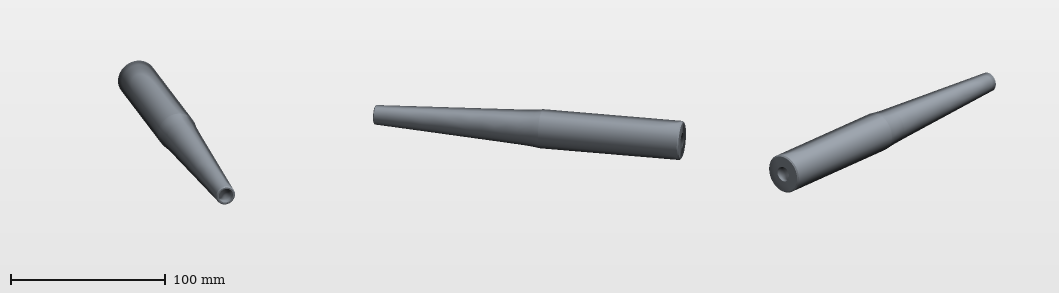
import cadquery as cq
import math

length = 203.2
shank_diameter = 25.5
shank_length = 92.7
neck_end = 106.0
tip_diameter = 12.5
taper_half_angle = math.radians(3)
shank_chamfer = 0.8
tip_chamfer = 0.6
bore_diameter = 9.5
bore_mouth_diameter = 10.0

shank_radius = shank_diameter / 2
tip_radius = tip_diameter / 2
neck_radius = tip_radius + (length - neck_end) * math.tan(taper_half_angle)


def make_body():
    """Revolve the shank, hollow-curved neck and tapered nose about X."""
    profile = (
        cq.Workplane("XZ")
        .moveTo(0, 0)
        .lineTo(length, 0)
        .lineTo(length, tip_radius)
        .lineTo(neck_end, neck_radius)
        .tangentArcPoint((shank_length, shank_radius), relative=False)
        .lineTo(0, shank_radius)
        .close()
    )
    body = profile.revolve(360, (0, 0, 0), (1, 0, 0))
    body = body.faces("<X").edges().chamfer(shank_chamfer)
    return body.faces(">X").edges().chamfer(tip_chamfer)


def cut_bore(body):
    """Bore through along X, with a small chamfer at the shank mouth."""
    bore = cq.Workplane("YZ").circle(bore_diameter / 2).extrude(length)
    mouth_chamfer = (bore_mouth_diameter - bore_diameter) / 2
    drilled = body.cut(bore)
    return drilled.faces("<X").edges(cq.selectors.RadiusNthSelector(0)).chamfer(mouth_chamfer)


result = cut_bore(make_body())